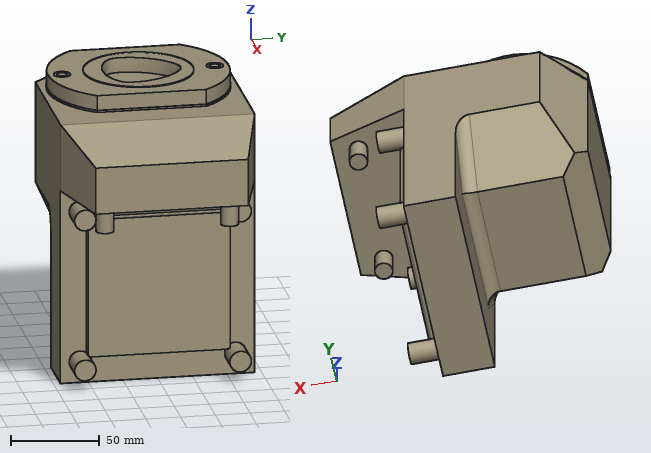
import cadquery as cq
import math


width = 112.0
half_width = width / 2
head_top = 154.6
head_bottom = 44.9
slab_front = 72.0
slab_back = 102.0
nose_corner = 23.3
nose_bevel_length = 14.4
nose_bevel_height = 24.9
flank_bottom = 95.2
flat_half_width = half_width - nose_corner
root_radius = 8.0

arm_end = 147.0
arm_bottom = 115.0
arm_taper_angle = 15
arm_taper = (arm_end - slab_back) * math.tan(math.radians(arm_taper_angle))

spindle_x = 41.9
flange_top = 164.5
flange_lip_radius = 52.5
flange_lip_height = 1.2
flange_inset = 0.3
spindle_face_top = 165
spindle_face_radius = 31.5

socket_radius = 22.5
socket_lobes = 3
socket_wave = 2.0
socket_depth = 8.7
socket_points = 36

seal_y = 44.0
seal_radius = 4.0
seal_section_radius = 1.0
seal_height = 0.5

screw_spacing = 89.6
screw_diameter = 12.4
screw_length = 17.0
coupling_z = 57.5
plate_side = 82.5
plate_thickness = 5
plate_lead_in_depth = 1.2
plate_lead_in_inset = 0.3

pin_diameter = 10.2
pin_length = 15.2
pin_x = 132.2
pin_y = 36.0


def head_and_slab():
    side = (
        cq.Workplane("XZ")
        .moveTo(0, head_top)
        .lineTo(0, head_bottom + nose_bevel_height)
        .lineTo(nose_bevel_length, head_bottom)
        .lineTo(slab_front, head_bottom)
        .lineTo(slab_front, head_top)
        .close()
        .extrude(half_width, both=True)
    )
    front = (
        cq.Workplane("YZ")
        .moveTo(-half_width, head_top)
        .lineTo(-half_width, flank_bottom)
        .lineTo(-flat_half_width, head_bottom)
        .lineTo(flat_half_width, head_bottom)
        .lineTo(half_width, flank_bottom)
        .lineTo(half_width, head_top)
        .close()
        .extrude(slab_front)
    )
    slab = (
        cq.Workplane("XY")
        .box(slab_back - slab_front, width, head_top, centered=(False, True, False))
        .translate((slab_front, 0, 0))
    )
    plan = (
        cq.Workplane("XY")
        .moveTo(0, -flat_half_width)
        .lineTo(nose_corner, -half_width)
        .lineTo(slab_back, -half_width)
        .lineTo(slab_back, half_width)
        .lineTo(nose_corner, half_width)
        .lineTo(0, flat_half_width)
        .close()
        .extrude(head_top)
    )
    body = side.intersect(front).union(slab).intersect(plan)
    margin = 1.6
    root_zone = cq.selectors.BoxSelector(
        (slab_front - margin, margin - half_width, head_bottom - margin),
        (slab_front + margin, half_width - margin, flank_bottom + margin),
    )
    return body.edges(root_zone).fillet(root_radius)


def arm():
    side = (
        cq.Workplane("XZ")
        .moveTo(slab_back, arm_bottom)
        .lineTo(arm_end, arm_bottom)
        .lineTo(arm_end, head_top - arm_taper)
        .lineTo(slab_back, head_top)
        .close()
        .extrude(half_width, both=True)
    )
    plan = (
        cq.Workplane("XY")
        .moveTo(slab_back, -half_width)
        .lineTo(arm_end, arm_taper - half_width)
        .lineTo(arm_end, half_width - arm_taper)
        .lineTo(slab_back, half_width)
        .close()
        .extrude(head_top)
    )
    return side.intersect(plan)


def flatted_disc(inset, bottom, top):
    """Disc on the spindle axis with a flat on its -X and +X sides, set inside the lip outline by inset."""
    height = top - bottom
    disc = cq.Workplane("XY").center(spindle_x, 0).circle(flange_lip_radius - inset).extrude(height)
    strip_width = 2 * (spindle_x - inset)
    strip = cq.Workplane("XY").center(spindle_x, 0).rect(strip_width, width).extrude(height)
    return disc.intersect(strip).translate((0, 0, bottom))


def socket():
    """Constant-width curve whose distance to its tangent is socket_radius plus a wave, one per lobe."""
    points = []
    for i in range(socket_points):
        angle = 2 * math.pi * i / socket_points
        wave = socket_lobes * (angle - math.pi / 2)
        reach = socket_radius + socket_wave * math.cos(wave)
        slide = -socket_lobes * socket_wave * math.sin(wave)
        x = reach * math.cos(angle) - slide * math.sin(angle)
        y = reach * math.sin(angle) + slide * math.cos(angle)
        points.append((spindle_x + x, y))
    floor = cq.Workplane("XY").workplane(offset=spindle_face_top - socket_depth)
    return floor.spline(points, periodic=True).close().extrude(socket_depth)


def seal_ring(y):
    centre = cq.Vector(spindle_x, y, flange_top + seal_height - seal_section_radius)
    return cq.Workplane(cq.Solid.makeTorus(seal_radius, seal_section_radius, centre, cq.Vector(0, 0, 1)))


def spindle_flange():
    lip_top = head_top + flange_lip_height
    lip = flatted_disc(0, head_top, lip_top)
    flange = flatted_disc(flange_inset, lip_top, flange_top)
    face_height = spindle_face_top - lip_top
    face = cq.Workplane("XY").circle(spindle_face_radius).extrude(face_height)
    flange = lip.union(flange).union(face.translate((spindle_x, 0, lip_top)))
    for y in (-seal_y, seal_y):
        flange = flange.union(seal_ring(y))
    return flange


def coupling():
    back = cq.Workplane("YZ", origin=(slab_back, 0, coupling_z))
    plate = back.rect(plate_side, plate_side).extrude(plate_thickness)
    plate = plate.faces(">X").chamfer(plate_lead_in_depth, plate_lead_in_inset)
    screws = (
        back.rect(screw_spacing, screw_spacing, forConstruction=True)
        .vertices()
        .circle(screw_diameter / 2)
        .extrude(screw_length)
    )
    return plate.union(screws)


def locating_pins():
    return (
        cq.Workplane("XY", origin=(pin_x, 0, arm_bottom))
        .pushPoints([(0, -pin_y), (0, pin_y)])
        .circle(pin_diameter / 2)
        .extrude(-pin_length)
    )


result = (
    head_and_slab()
    .union(arm())
    .union(spindle_flange())
    .union(coupling())
    .union(locating_pins())
    .cut(socket())
)